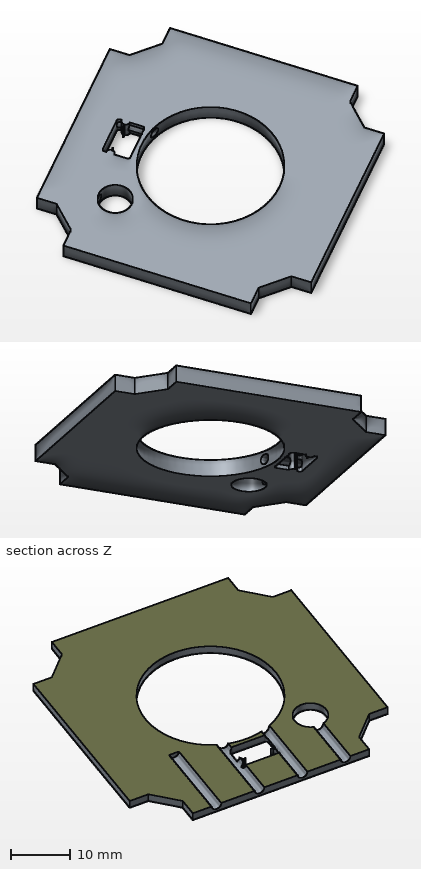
import cadquery as cq

SIZE = 49.8
THICKNESS = 3.0
EDGE_HALF = 17.05
STEP_DEPTH = 3.6

BORE_DIAMETER = 25.0
SMALL_BORE_DIAMETER = 6.0
SMALL_BORE_OFFSET = SIZE / 4

WINDOW_X = -15.8
WINDOW_WIDTH = 5.0
WINDOW_LENGTH = 7.3
WINDOW_CORNER_RADIUS = 0.45
BUMP_X = -16.8
BUMP_RADIUS = 0.75
RIB_WIDTH = 0.1
RIB_LENGTH = 1.25

EDGE_HOLE_DIAMETER = 1.8
EDGE_HOLE_COUNT = 4
EDGE_HOLE_PITCH = SIZE / 6
EDGE_HOLE_DEPTH = 14.95


def make_plate():
    """Square plate whose corners are stepped in and joined by a diagonal."""
    half = SIZE / 2
    shoulder = half - STEP_DEPTH
    plate = cq.Workplane("XY").box(SIZE, SIZE, THICKNESS)
    corner = (
        cq.Workplane("XY")
        .polyline([
            (EDGE_HALF, half),
            (EDGE_HALF, shoulder),
            (shoulder, EDGE_HALF),
            (half, EDGE_HALF),
            (half, half),
        ])
        .close()
        .extrude(THICKNESS / 2, both=True)
    )
    for quarter in range(4):
        plate = plate.cut(corner.rotate((0, 0, 0), (0, 0, 1), 90 * quarter))
    return plate


def make_bores():
    """Main bore in the middle and the small bore beside it."""
    main = cq.Workplane("XY").circle(BORE_DIAMETER / 2).extrude(THICKNESS / 2, both=True)
    small = (
        cq.Workplane("XY")
        .center(-SMALL_BORE_OFFSET, -SMALL_BORE_OFFSET)
        .circle(SMALL_BORE_DIAMETER / 2)
        .extrude(THICKNESS / 2, both=True)
    )
    return main.union(small)


def make_window():
    """Window opening, less the bump and rib that stand in from each end."""
    window = (
        cq.Workplane("XY")
        .center(WINDOW_X, 0)
        .rect(WINDOW_WIDTH, WINDOW_LENGTH)
        .extrude(THICKNESS / 2, both=True)
        .edges("|Z")
        .fillet(WINDOW_CORNER_RADIUS)
    )
    for side in (-1, 1):
        end_wall = side * WINDOW_LENGTH / 2
        bump = (
            cq.Workplane("XY")
            .center(BUMP_X, end_wall)
            .circle(BUMP_RADIUS)
            .extrude(THICKNESS / 2, both=True)
        )
        rib = (
            cq.Workplane("XY")
            .center(BUMP_X, end_wall)
            .rect(RIB_WIDTH, 2 * RIB_LENGTH)
            .extrude(THICKNESS / 2, both=True)
        )
        window = window.cut(bump).cut(rib)
    return window


def make_edge_holes():
    """Evenly spaced holes running in from the -X edge at mid thickness."""
    return (
        cq.Workplane("YZ", origin=(-SIZE / 2, 0, 0))
        .rarray(EDGE_HOLE_PITCH, 0.5, EDGE_HOLE_COUNT, 1)
        .circle(EDGE_HOLE_DIAMETER / 2)
        .extrude(EDGE_HOLE_DEPTH)
    )


result = make_plate().cut(make_bores()).cut(make_window()).cut(make_edge_holes())